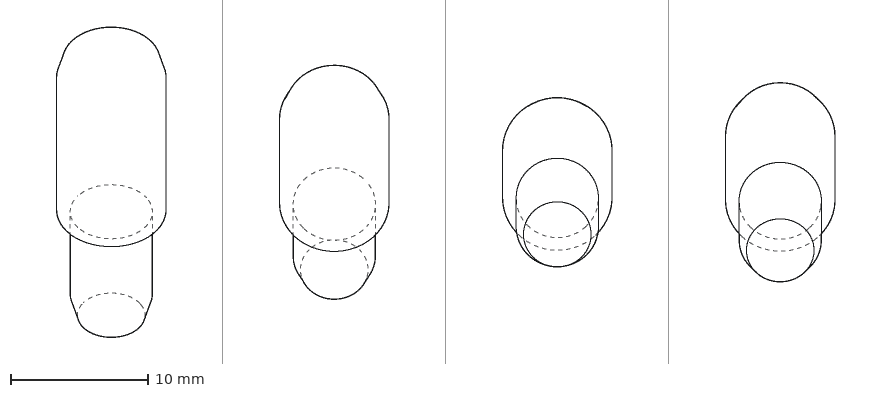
import cadquery as cq
import math

total_length = 25.0
shank_length = 10.0
head_radius = 4.0
shank_radius = 3.0
taper_length = 2.0
taper_angle = 15.0
top_edge_fillet = 0.5
shoulder_fillet = 0.2

taper_inset = taper_length * math.tan(math.radians(taper_angle))

profile = (
    cq.Workplane("XZ")
    .moveTo(0, 0)
    .lineTo(shank_radius - taper_inset, 0)
    .lineTo(shank_radius, taper_length)
    .lineTo(shank_radius, shank_length)
    .lineTo(head_radius - shoulder_fillet, shank_length)
    .radiusArc((head_radius, shank_length + shoulder_fillet), -shoulder_fillet)
    .lineTo(head_radius, total_length - taper_length)
    .lineTo(head_radius - taper_inset, total_length)
    .lineTo(0, total_length)
    .close()
)
pin = profile.revolve(360, (0, 0), (0, 1))

result = pin.faces(">Z").edges().fillet(top_edge_fillet)